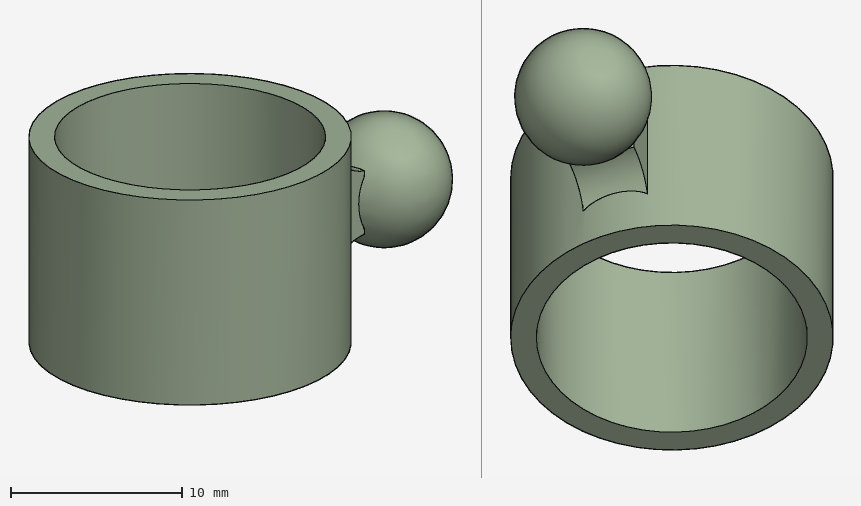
import cadquery as cq

RING_OUTER_DIAMETER = 18.8
RING_INNER_DIAMETER = 15.8
RING_HEIGHT = 13.0
RING_OUTER_RADIUS = RING_OUTER_DIAMETER / 2
RING_INNER_RADIUS = RING_INNER_DIAMETER / 2

BALL_RADIUS = 4.0
BALL_GAP = 1.0
BALL_CENTER_Y = RING_OUTER_RADIUS + BALL_GAP + BALL_RADIUS
MID_HEIGHT = RING_HEIGHT / 2

NECK_WIDTH = 4.0
NECK_THICKNESS = 4.0
FLARE_RADIUS = 2.5
FLARE_DEPTH = 0.3
NECK_END_Y = 11.35
NECK_ROOT_Y = (RING_OUTER_RADIUS + RING_INNER_RADIUS) / 2


def make_ring_body():
    return cq.Workplane("XY").circle(RING_OUTER_RADIUS).extrude(RING_HEIGHT)


def make_bore():
    return cq.Workplane("XY").circle(RING_INNER_RADIUS).extrude(RING_HEIGHT)


def make_ball():
    return cq.Workplane("XY").sphere(BALL_RADIUS).translate((0, BALL_CENTER_Y, MID_HEIGHT))


def make_neck():
    """Block with full flare height at its root, hollowed above and below by a cylinder along X."""
    flare_start_y = RING_OUTER_RADIUS - FLARE_DEPTH
    flare_center_y = flare_start_y + FLARE_RADIUS
    flare_center_z = NECK_THICKNESS / 2 + FLARE_RADIUS
    block_length = NECK_END_Y - NECK_ROOT_Y
    neck = cq.Workplane("XY").box(
        NECK_WIDTH, block_length, 2 * flare_center_z, centered=(True, False, True)
    ).translate((0, NECK_ROOT_Y, 0))
    for side in (-1, 1):
        hollow = (
            cq.Workplane("YZ")
            .center(flare_center_y, side * flare_center_z)
            .circle(FLARE_RADIUS)
            .extrude(NECK_WIDTH / 2, both=True)
        )
        neck = neck.cut(hollow)
    return neck.translate((0, 0, MID_HEIGHT))


result = make_ring_body().union(make_neck()).union(make_ball()).cut(make_bore())